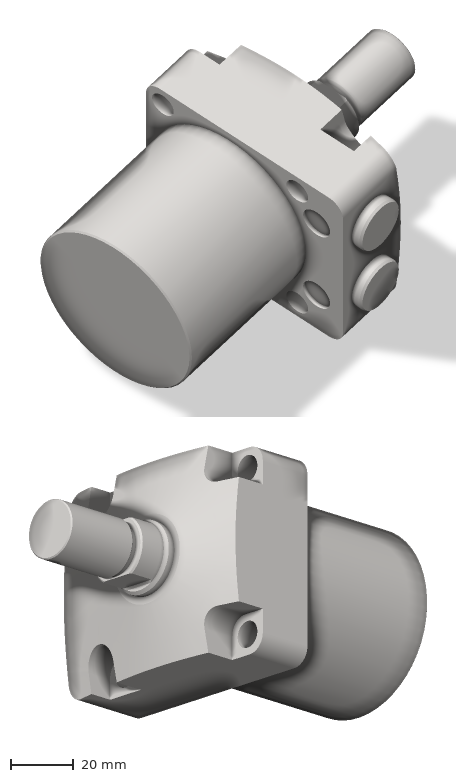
import cadquery as cq
import math


overall_width = 86.0

flange_height = 70.0
flange_half_height = flange_height / 2
flange_left = -flange_half_height
flange_right = 47.0
corner_radius = 6.0

top_y = 37.5
top_flat_radius = 15.0
cone_angle = 15.0

barrel_length = 57.5
barrel_diameter = 63.0
barrel_chamfer = 0.5

bolt_offset = 28.0
bolt_hole_diameter = 9.0
pocket_seat_y = 20.0
slot_diameter = 14.0
slot_radius = slot_diameter / 2
pocket_wall = bolt_offset - slot_radius

port_x = 36.0
port_z = 18.0
port_diameter = 11.2
port_depth = 1.4

plug_y = 14.0
plug_z = 15.1
plug_diameter = 19.0
plug_length = overall_width - (flange_right - flange_left)
plug_bevel_length = 1.0
plug_bevel_height = 0.4

rod_diameter = 24.9
rod_shoulder_y = 40.0
stub_diameter = 23.0
stub_start_y = 41.3
stub_end_y = 51.2
stub_chamfer = 0.5
neck_diameter = 18.0
thread_diameter = 20.0
thread_start_y = 52.9
thread_end_y = 81.0
thread_chamfer = 0.4
flat_across = 19.0
flat_ramp = 0.7


def extrude_along_y(sketch_xz, start_y, end_y):
    """Extrude an outline drawn in X and Z on the XZ plane from start_y to end_y."""
    return sketch_xz.extrude(start_y - end_y).translate((0, start_y, 0))


def revolve_about_y(profile_points):
    """Revolve a closed (radius, Y) outline about the Y axis."""
    return cq.Workplane("XY").polyline(profile_points).close().revolve(360, (0, 0, 0), (0, 1, 0))


def make_flange():
    """Rounded block whose top is cut to a shallow cone around the rod."""
    width = flange_right - flange_left
    center_x = (flange_right + flange_left) / 2
    outline = cq.Workplane("XZ").center(center_x, 0).rect(width, 2 * flange_half_height)
    block = extrude_along_y(outline, 0, top_y).edges("|Y").fillet(corner_radius)

    cone_radius = math.hypot(flange_right, flange_half_height)
    cone_edge_y = top_y - (cone_radius - top_flat_radius) * math.tan(math.radians(cone_angle))
    envelope = revolve_about_y([
        (0, 0),
        (cone_radius, 0),
        (cone_radius, cone_edge_y),
        (top_flat_radius, top_y),
        (0, top_y),
    ])
    return block.intersect(envelope)


def make_barrel():
    outline = cq.Workplane("XZ").circle(barrel_diameter / 2)
    return extrude_along_y(outline, -barrel_length, 0).faces("<Y").chamfer(barrel_chamfer)


def make_corner_pocket(side):
    """Pocket open to the -X face and to one Z face, with a rounded inner corner."""
    size = 2 * (flange_half_height - pocket_wall)
    center_x = -pocket_wall - size / 2
    center_z = side * (pocket_wall + size / 2)
    outline = cq.Workplane("XZ").center(center_x, center_z).rect(size, size)
    return extrude_along_y(outline, pocket_seat_y, top_y).edges("|Y").fillet(corner_radius)


def make_slot_pocket(side):
    """Pocket open to one Z face, with a half-round inner end."""
    slot_depth = flange_half_height - bolt_offset
    outline = cq.Workplane("XZ").center(bolt_offset, side * bolt_offset).circle(slot_radius)
    round_end = extrude_along_y(outline, pocket_seat_y, top_y)
    outline = (
        cq.Workplane("XZ")
        .center(bolt_offset, side * (bolt_offset + slot_depth / 2))
        .rect(2 * slot_radius, slot_depth)
    )
    return round_end.union(extrude_along_y(outline, pocket_seat_y, top_y))


def make_bolt_holes():
    outline = (
        cq.Workplane("XZ")
        .rect(2 * bolt_offset, 2 * bolt_offset, forConstruction=True)
        .vertices()
        .circle(bolt_hole_diameter / 2)
    )
    return extrude_along_y(outline, 0, top_y)


def make_ports():
    outline = (
        cq.Workplane("XZ")
        .pushPoints([(port_x, port_z), (port_x, -port_z)])
        .circle(port_diameter / 2)
    )
    return extrude_along_y(outline, 0, port_depth)


def make_housing():
    housing = make_flange().union(make_barrel())
    for side in (1, -1):
        housing = housing.cut(make_corner_pocket(side)).cut(make_slot_pocket(side))
    return housing.cut(make_bolt_holes()).cut(make_ports())


def make_flat_cutter(side):
    """Cutter for one wrench flat, with a ramp at its lower end."""
    flat_z = flat_across / 2
    outer_z = rod_diameter / 2
    profile = [
        (stub_end_y, side * flat_z),
        (stub_start_y + flat_ramp, side * flat_z),
        (stub_start_y, side * (flat_z + flat_ramp)),
        (stub_start_y, side * outer_z),
        (stub_end_y, side * outer_z),
    ]
    return cq.Workplane("YZ").polyline(profile).close().extrude(rod_diameter / 2, both=True)


def make_rod():
    """Stepped rod standing on the flat top of the housing, with a threaded end."""
    rod_radius = rod_diameter / 2
    stub_radius = stub_diameter / 2
    neck_radius = neck_diameter / 2
    thread_radius = thread_diameter / 2
    thread_runout = thread_radius - neck_radius
    rod = revolve_about_y([
        (0, top_y),
        (rod_radius, top_y),
        (rod_radius, rod_shoulder_y),
        (stub_radius, stub_start_y),
        (stub_radius, stub_end_y - stub_chamfer),
        (stub_radius - stub_chamfer, stub_end_y),
        (neck_radius, stub_end_y),
        (neck_radius, thread_start_y),
        (thread_radius, thread_start_y + thread_runout),
        (thread_radius, thread_end_y - thread_chamfer),
        (thread_radius - thread_chamfer, thread_end_y),
        (0, thread_end_y),
    ])
    for side in (1, -1):
        rod = rod.cut(make_flat_cutter(side))
    return rod


def make_plug(side):
    """Round plug standing on the +X face, with a beveled outer rim."""
    plug = (
        cq.Workplane("YZ", origin=(flange_right, plug_y, side * plug_z))
        .circle(plug_diameter / 2)
        .extrude(plug_length)
    )
    return plug.faces(">X").edges().chamfer(plug_bevel_length, plug_bevel_height)


housing = make_housing()
rod = make_rod()
plugs = [make_plug(side) for side in (1, -1)]

result = cq.Compound.makeCompound([
    housing.val(),
    rod.val(),
    *[plug.val() for plug in plugs],
])